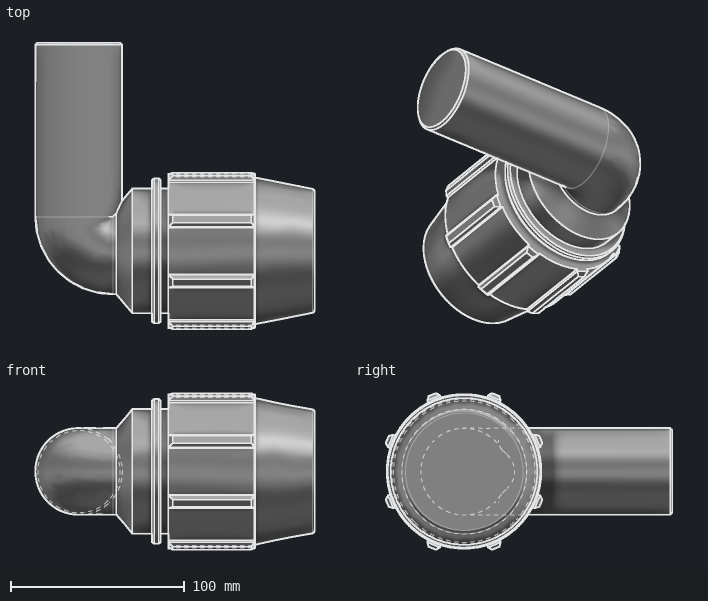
import cadquery as cq
import math

pipe_diameter = 50.0
pipe_radius = pipe_diameter / 2
bend_radius = 19.7
pipe_end_chamfer = 1.3
overall_length = 165.2

bend_end_x = pipe_radius + bend_radius
cone_start_x = 46.7
cone_end_x = 56.0
body_radius = 72.0 / 2
flange_start_x = 67.2
flange_end_x = 72.3
flange_radius = 83.5 / 2
flange_bevel_length = 1.3
flange_bevel_depth = 1.0

nut_start_x = 76.6
nut_end_x = 126.8
nut_rear_chamfer = 0.7
nut_radius = 44.6
nut_overall_diameter = 90.3
rib_count = 8
rib_root_width = 8.0
rib_top_width = 4.6
rib_root_radius = 43.8
rib_shoulder_radius = 45.7
rib_top_radius = 47.9
rib_front_slope = 2.6
rib_rear_slope = 1.7

tail_end_x = 161.0
tail_start_radius = 42.3
tail_end_radius = 35.5
tail_edge_fillet = 2.0

rib_pitch = 360 / rib_count
pipe_end_y = overall_length - nut_overall_diameter / 2


def disc(start_x, end_x, radius):
    """Solid cylinder on the nut axis."""
    return cq.Workplane("YZ", origin=(start_x, 0, 0)).circle(radius).extrude(end_x - start_x)


def make_pipe():
    pipe = cq.Workplane("XZ", origin=(pipe_radius, pipe_end_y, 0)).circle(pipe_radius)
    return pipe.extrude(pipe_end_y - bend_radius).faces(">Y").chamfer(pipe_end_chamfer)


def make_elbow():
    """Quarter bend; the pipe circle is trimmed at the bend axis, which lies inside it."""
    half_height = math.sqrt(pipe_radius**2 - bend_radius**2)
    profile = (
        cq.Workplane("XZ", origin=(pipe_radius, bend_radius, 0))
        .moveTo(bend_radius, -half_height)
        .threePointArc((-pipe_radius, 0), (bend_radius, half_height))
        .close()
    )
    return profile.revolve(90, (bend_radius, 0, 0), (bend_radius, 1, 0))


def make_body():
    """Neck, cone and barrel reaching into the nut."""
    return (
        cq.Workplane("XY")
        .moveTo(bend_end_x, 0)
        .lineTo(bend_end_x, pipe_radius)
        .lineTo(cone_start_x, pipe_radius)
        .lineTo(cone_end_x, body_radius)
        .lineTo(nut_start_x, body_radius)
        .lineTo(nut_start_x, 0)
        .close()
        .revolve(360, (0, 0, 0), (1, 0, 0))
    )


def make_flange():
    """Collar with both rim edges bevelled."""
    profile = (
        cq.Workplane("XY")
        .moveTo(flange_start_x, 0)
        .lineTo(flange_start_x, flange_radius - flange_bevel_depth)
        .lineTo(flange_start_x + flange_bevel_length, flange_radius)
        .lineTo(flange_end_x - flange_bevel_length, flange_radius)
        .lineTo(flange_end_x, flange_radius - flange_bevel_depth)
        .lineTo(flange_end_x, 0)
        .close()
    )
    return profile.revolve(360, (0, 0, 0), (1, 0, 0))


def make_tail():
    tail = (
        cq.Workplane("XY")
        .moveTo(nut_end_x, 0)
        .lineTo(nut_end_x, tail_start_radius)
        .lineTo(tail_end_x, tail_end_radius)
        .lineTo(tail_end_x, 0)
        .close()
        .revolve(360, (0, 0, 0), (1, 0, 0))
    )
    return tail.faces(">X").edges().fillet(tail_edge_fillet)


def make_rib():
    """Grip rib on the +Z side: upright walls from inside the nut, then four sloping sides."""
    root_start_x = nut_start_x
    root_end_x = nut_end_x - nut_rear_chamfer
    top_start_x = root_start_x + rib_front_slope
    top_end_x = root_end_x - rib_rear_slope
    root_middle_x = (root_start_x + root_end_x) / 2
    top_middle_x = (top_start_x + top_end_x) / 2
    walls = (
        cq.Workplane("XY", origin=(root_middle_x, 0, rib_root_radius))
        .rect(root_end_x - root_start_x, rib_root_width)
        .extrude(rib_shoulder_radius - rib_root_radius)
    )
    crown = (
        cq.Workplane("XY", origin=(root_middle_x, 0, rib_shoulder_radius))
        .rect(root_end_x - root_start_x, rib_root_width)
        .workplane(offset=rib_top_radius - rib_shoulder_radius)
        .center(top_middle_x - root_middle_x, 0)
        .rect(top_end_x - top_start_x, rib_top_width)
        .loft(ruled=True)
    )
    return walls.union(crown)


def make_nut():
    nut = disc(nut_start_x, nut_end_x, nut_radius).faces(">X").edges().chamfer(nut_rear_chamfer)
    rib = make_rib()
    for index in range(rib_count):
        angle = (index + 0.5) * rib_pitch
        nut = nut.union(rib.rotate((0, 0, 0), (1, 0, 0), angle))
    return nut


result = make_pipe().union(make_elbow()).union(make_body())
result = result.union(make_flange()).union(make_nut()).union(make_tail())